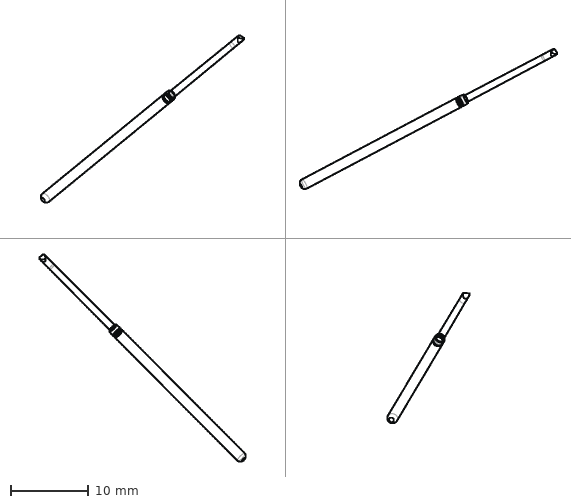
import cadquery as cq
import math

total_length = 38.7
barrel_diameter = 1.37
barrel_length = 25.0
tail_round_length = 0.5
tail_flat_radius = 0.32
mouth_chamfer_length = 0.35
mouth_chamfer_depth = 0.05
groove_offset = 0.8
groove_width = 0.3
groove_depth = 0.05
head_diameter = 0.88
head_length = 2.0
shank_root_diameter = 0.95
wedge_angle = 60.0
edge_corner = 0.15

barrel_radius = barrel_diameter / 2
head_radius = head_diameter / 2
shank_root_radius = shank_root_diameter / 2
head_start = total_length - head_length


def make_barrel():
    """Closed tube body: tapered mouth, V ring groove and rounded tail with a small flat."""
    mouth_radius = barrel_radius - mouth_chamfer_depth
    groove_radius = barrel_radius - groove_depth
    groove_front = barrel_length - groove_offset
    groove_back = groove_front - groove_width
    groove_middle = (groove_front + groove_back) / 2
    return (
        cq.Workplane("XY")
        .moveTo(0, 0)
        .lineTo(0, barrel_length)
        .lineTo(mouth_radius, barrel_length)
        .lineTo(barrel_radius, barrel_length - mouth_chamfer_length)
        .lineTo(barrel_radius, groove_front)
        .lineTo(groove_radius, groove_middle)
        .lineTo(barrel_radius, groove_back)
        .lineTo(barrel_radius, tail_round_length)
        .tangentArcPoint((tail_flat_radius, 0), relative=False)
        .close()
        .revolve(360, (0, 0, 0), (0, 1, 0))
    )


def make_plunger_blank():
    """Tapered shank and straight round head with a flat end."""
    return (
        cq.Workplane("XY")
        .moveTo(0, barrel_length)
        .lineTo(shank_root_radius, barrel_length)
        .lineTo(head_radius, head_start)
        .lineTo(head_radius, total_length)
        .lineTo(0, total_length)
        .close()
        .revolve(360, (0, 0, 0), (0, 1, 0))
    )


def make_plunger():
    """Plunger ground to a chisel: edge along X, both corners of the edge rounded."""
    wedge_length = head_radius / math.tan(math.radians(wedge_angle / 2))
    wedge_start = total_length - wedge_length
    side_waste = (
        cq.Workplane("YZ")
        .moveTo(wedge_start, head_radius)
        .lineTo(total_length, 0)
        .lineTo(total_length, head_radius)
        .close()
        .extrude(head_radius, both=True)
    )
    corner_waste = (
        cq.Workplane("XY")
        .moveTo(head_radius, total_length - edge_corner)
        .lineTo(head_radius, total_length)
        .lineTo(head_radius - edge_corner, total_length)
        .radiusArc((head_radius, total_length - edge_corner), edge_corner)
        .close()
        .extrude(head_radius, both=True)
    )
    plunger = make_plunger_blank()
    for waste, mirror_plane in ((side_waste, "XY"), (corner_waste, "YZ")):
        plunger = plunger.cut(waste).cut(waste.mirror(mirror_plane))
    return plunger


result = make_barrel().union(make_plunger())